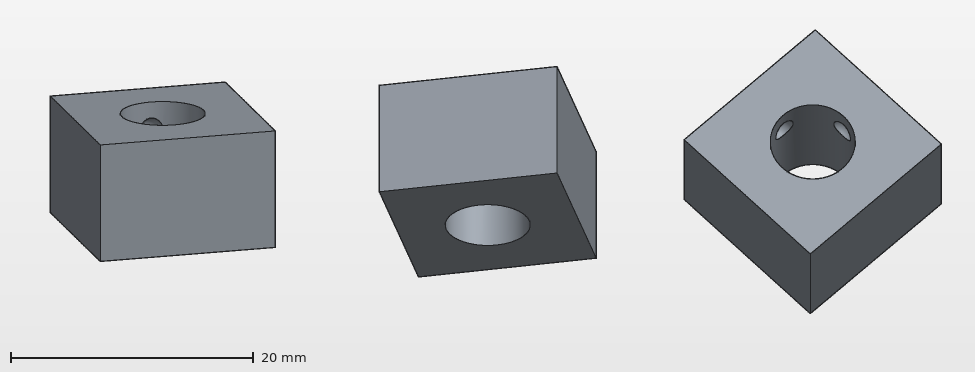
import cadquery as cq

side = 15.0
height = 10.0
bore_diameter = 7.0

dimple_diameter = 2.0
dimple_depth_below_top = 2.4
dimple_count = 4


def dimple(angle):
    """Ball centred on the bore wall, its pole axis pointing radially outward."""
    radius = dimple_diameter / 2
    ball = (
        cq.Workplane("YZ", origin=(bore_diameter / 2, 0, height - dimple_depth_below_top))
        .sphere(radius)
    )
    return ball.rotate((0, 0, 0), (0, 0, 1), angle)


block = cq.Workplane("XY").box(side, side, height, centered=(True, True, False))
bore = cq.Workplane("XY").circle(bore_diameter / 2).extrude(height)

result = block.cut(bore)
for index in range(dimple_count):
    result = result.cut(dimple(index * 360 / dimple_count))